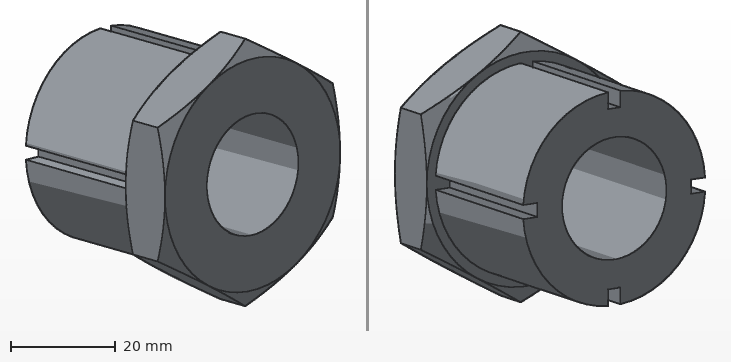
import cadquery as cq
import math

across_corners = 53.1
across_flats = across_corners * math.cos(math.radians(30))
head_length = 11.0
chamfer_angle = 30.0

total_length = 41.0
sleeve_length = total_length - head_length
sleeve_diameter = 42.0
bore_diameter = 24.0

groove_count = 4
groove_width = 2.75
groove_floor_radius = 17.7


def make_head():
    """Hexagon with corners on Z, both ends coned down to the across-flats circle."""
    hexagon = (
        cq.Workplane("YZ", origin=(sleeve_length, 0, 0))
        .polygon(6, across_corners)
        .extrude(head_length)
        .rotate((0, 0, 0), (1, 0, 0), 90)
    )
    corner_radius = across_corners / 2
    flat_radius = across_flats / 2
    chamfer_length = (corner_radius - flat_radius) * math.tan(math.radians(chamfer_angle))
    envelope = (
        cq.Workplane("XY")
        .moveTo(sleeve_length, 0)
        .lineTo(sleeve_length, flat_radius)
        .lineTo(sleeve_length + chamfer_length, corner_radius)
        .lineTo(total_length - chamfer_length, corner_radius)
        .lineTo(total_length, flat_radius)
        .lineTo(total_length, 0)
        .close()
        .revolve(360, (0, 0, 0), (1, 0, 0))
    )
    return hexagon.intersect(envelope)


def make_sleeve():
    """Plain cylinder with equally spaced grooves that stop at the head."""
    sleeve = cq.Workplane("YZ").circle(sleeve_diameter / 2).extrude(sleeve_length)
    groove = cq.Workplane("XY").box(
        sleeve_length, groove_width, sleeve_diameter / 2, centered=(False, True, False)
    ).translate((0, 0, groove_floor_radius))
    for index in range(groove_count):
        angle = index * 360 / groove_count
        sleeve = sleeve.cut(groove.rotate((0, 0, 0), (1, 0, 0), angle))
    return sleeve


bore = cq.Workplane("YZ").circle(bore_diameter / 2).extrude(total_length)
result = make_head().union(make_sleeve()).cut(bore)